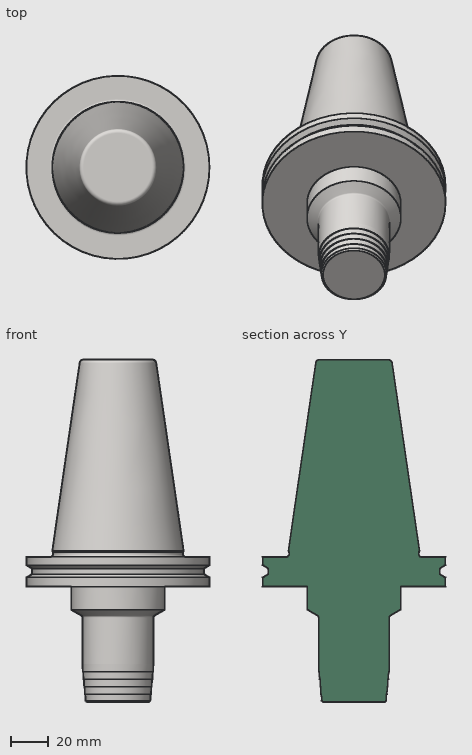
import cadquery as cq
import math

total_height = 182.2

taper_length = 101.7
gauge_radius = 35.0
taper_ratio = 7 / 24
end_round = 2.2

neck_radius = 34.6
neck_chamfer_height = 0.7
neck_fillet = 1.6

flange_diameter = 97.5
flange_radius = flange_diameter / 2
flange_bottom = 61.5
flange_top = 77.3
groove_bottom = 66.3
groove_top = 72.9
groove_depth = 3.0
groove_flank_height = 1.8

collar_radius = 25.0
collar_bottom = 49.2
shoulder_angle = 30.0
body_radius = 19.0
body_fillet = 1.1

nose_height = 20.2
nose_band_height = 4.0
nose_band_count = 5
nose_band_step = 0.22
nose_end_radius = 17.3
nose_chamfer = 1.0


def revolve_outline(outline):
    """Close an outline of (radius, height) points and turn it about Z."""
    return outline.close().revolve(360, (0, 0, 0), (0, 1, 0))


def make_shank():
    gauge_height = total_height - taper_length
    tip_radius = gauge_radius - taper_length * taper_ratio / 2
    neck_top = gauge_height - neck_chamfer_height
    outline = (
        cq.Workplane("XZ")
        .moveTo(0, flange_bottom)
        .lineTo(neck_radius + neck_fillet, flange_bottom)
        .lineTo(neck_radius + neck_fillet, flange_top)
        .radiusArc((neck_radius, flange_top + neck_fillet), neck_fillet)
        .lineTo(neck_radius, neck_top)
        .lineTo(gauge_radius, gauge_height)
        .lineTo(tip_radius, total_height)
        .lineTo(0, total_height)
    )
    return revolve_outline(outline).faces(">Z").edges().fillet(end_round)


def make_flange():
    groove_floor_radius = flange_radius - groove_depth
    outline = (
        cq.Workplane("XZ")
        .moveTo(0, flange_bottom)
        .lineTo(flange_radius, flange_bottom)
        .lineTo(flange_radius, groove_bottom)
        .lineTo(groove_floor_radius, groove_bottom + groove_flank_height)
        .lineTo(groove_floor_radius, groove_top - groove_flank_height)
        .lineTo(flange_radius, groove_top)
        .lineTo(flange_radius, flange_top)
        .lineTo(0, flange_top)
    )
    return revolve_outline(outline)


def nose_points():
    """Band edges from the end chamfer up to the body; the lowest band ends on the chamfer."""
    total_step = (nose_band_count - 1) * nose_band_step
    slope = (body_radius - nose_end_radius - total_step) / (nose_height - nose_chamfer)
    points = [(nose_end_radius, nose_chamfer)]
    for steps_above in reversed(range(1, nose_band_count)):
        height = nose_height - steps_above * nose_band_height
        upper_radius = body_radius - slope * (nose_height - height) - (steps_above - 1) * nose_band_step
        points.append((upper_radius - nose_band_step, height))
        points.append((upper_radius, height))
    points.append((body_radius, nose_height))
    return points


def make_collar_and_nose():
    slope = math.radians(shoulder_angle)
    fillet_reach = body_fillet * math.tan((math.pi / 2 - slope) / 2)
    shoulder_bottom = collar_bottom - (collar_radius - body_radius) * math.tan(slope)
    fillet_bottom = (body_radius, shoulder_bottom - fillet_reach)
    fillet_top = (
        body_radius + fillet_reach * math.cos(slope),
        shoulder_bottom + fillet_reach * math.sin(slope),
    )
    outline = (
        cq.Workplane("XZ")
        .moveTo(0, 0)
        .lineTo(nose_end_radius - nose_chamfer, 0)
        .polyline(nose_points(), includeCurrent=True)
        .lineTo(*fillet_bottom)
        .radiusArc(fillet_top, body_fillet)
        .lineTo(collar_radius, collar_bottom)
        .lineTo(collar_radius, flange_bottom)
        .lineTo(0, flange_bottom)
    )
    return revolve_outline(outline)


result = make_shank().union(make_flange()).union(make_collar_and_nose())